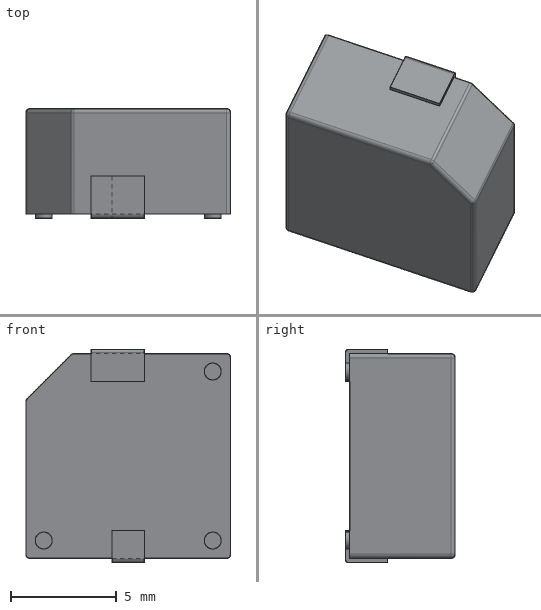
import cadquery as cq

body_side = 9.7
body_depth = 5.0
corner_cut = 2.2
edge_radius = 0.2

standoff = 0.2
foot_diameter = 0.8
foot_offset = 4.0

sheet = 0.2
bend_radius = 0.16
terminal_reach = 2.0
pad_length = 1.52
terminal_right = 0.77
upper_width = 2.52
lower_width = 2 * terminal_right

half = body_side / 2
outer_z = half + sheet
front_y = -body_depth / 2
pad_y = front_y - standoff


def housing():
    outline = [
        (-half, -half),
        (half, -half),
        (half, half),
        (-half + corner_cut, half),
        (-half, half - corner_cut),
    ]
    block = (
        cq.Workplane("XZ", origin=(0, -front_y, 0))
        .polyline(outline)
        .close()
        .extrude(body_depth)
    )
    return block.edges("|Y").fillet(edge_radius).faces(">Y").edges().fillet(edge_radius)


def foot(x, z):
    return (
        cq.Workplane("XZ", origin=(x, front_y, z))
        .circle(foot_diameter / 2)
        .extrude(standoff)
    )


def terminal(width, side):
    """L-shaped terminal on the top (side = 1) or bottom (side = -1)."""
    profile = [
        (pad_y, side * outer_z),
        (pad_y + terminal_reach, side * outer_z),
        (pad_y + terminal_reach, side * half),
        (front_y, side * half),
        (front_y, side * (outer_z - pad_length)),
        (pad_y, side * (outer_z - pad_length)),
    ]
    strip = (
        cq.Workplane("YZ", origin=(terminal_right - width, 0, 0))
        .polyline(profile)
        .close()
        .extrude(width)
    )
    bend = cq.selectors.NearestToPointSelector(
        (terminal_right - width / 2, pad_y, side * outer_z)
    )
    return strip.edges(bend).fillet(bend_radius)


result = housing()
for x_side, z_side in [(-1, -1), (1, -1), (1, 1)]:
    result = result.union(foot(x_side * foot_offset, z_side * foot_offset))
result = result.union(terminal(upper_width, 1))
result = result.union(terminal(lower_width, -1))